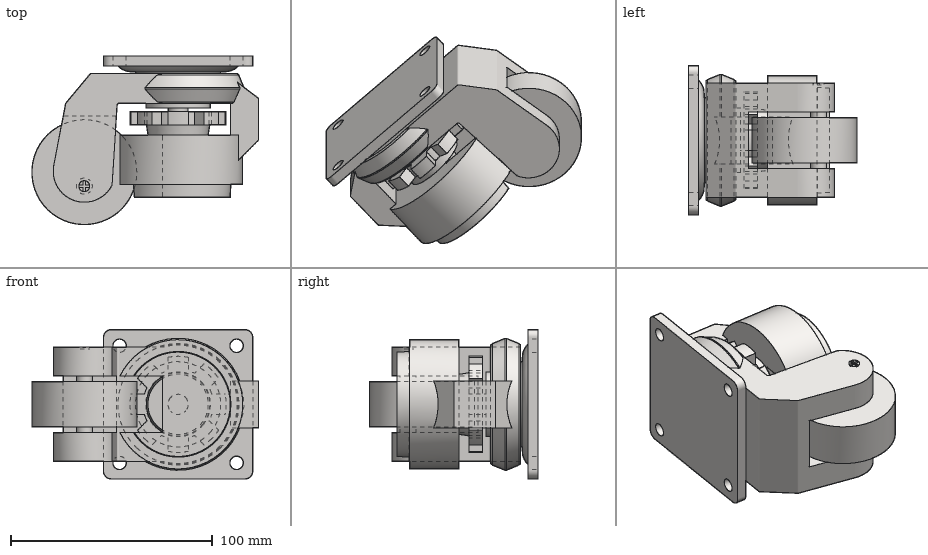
import cadquery as cq
import math


OVERALL_LENGTH = 112.3
OVERALL_DEPTH = 83.5

PLATE_SIDE = 74.0
PLATE_THICKNESS = 5.0
PLATE_CORNER_RADIUS = 3.9
BOLT_HOLE_DIAMETER = 6.5
BOLT_SPACING = 58.0

DOME_BASE_RADIUS = 29.8
DOME_FLAT_RADIUS = 23.2
DOME_DEPTH = 7.9
NECK_DIAMETER = 42.2

HEAD_TOP = 8.6
HEAD_BOTTOM = 23.5
HEAD_END_RADIUS = 30.1
HEAD_RIM_RADIUS = 32.7
HEAD_RIM_WIDTH = 0.7
HEAD_EDGE_BREAK = 0.8

TAIL_REACH = 39.9
WHEEL_DIAMETER = 52.0
WHEEL_WIDTH = 22.5
WHEEL_X = TAIL_REACH - OVERALL_LENGTH + WHEEL_DIAMETER / 2
WHEEL_DEPTH = OVERALL_DEPTH - WHEEL_DIAMETER / 2

FORK_WIDTH = 56.6
FORK_SLOT_WIDTH = 28.1
FORK_SLOT_DEPTH = 29.6
SHOULDER_X = -43.3
ELBOW_X = -55.7
ELBOW_DEPTH = HEAD_BOTTOM
CROTCH_X = -30.1
HEEL_X = -32.7
ARM_END_DEPTH = 57.0
ARM_END_RADIUS = 15.4
FORK_EDGE_FILLET = 1.0

AXLE_DIAMETER = 8.0
AXLE_DEPTH = 64.5
SCREW_HEAD_DIAMETER = 5.4
SCREW_HEAD_HEIGHT = 0.1
RECESS_BAR_WIDTH = 1.1
RECESS_DEPTH = 1.1

COLLAR_DIAMETER = 32.0
COLLAR_BOTTOM = 25.8
SHAFT_DIAMETER = 10.0
STAR_TOP = 27.5
STAR_BOTTOM = 34.1
STAR_TEETH = 8
STAR_TIP_RADIUS = 23.8
STAR_ROOT_RADIUS = 17.4
STAR_TOOTH_WIDTH = 10.2
HUB_TOP_RADIUS = 15.7
HUB_BOTTOM_RADIUS = 14.9

FOOT_TOP = 39.2
FOOT_BOTTOM = 63.6
FOOT_RADIUS = 32.0
PAD_BOTTOM = 70.0
PAD_TOP_RADIUS = 26.2
PAD_BOTTOM_RADIUS = 25.8
POCKET_EDGE_X = -7.6

TAIL_WIDTH = 23.2
TAIL_INNER_X = 25.8
TAIL_FACE_TOP = 21.0
TAIL_FACE_BOTTOM = 41.7
TAIL_ROOT_TOP = 10.3


def disc(radius, top, bottom):
    """Round disc about the swivel axis between two depths."""
    return cq.Workplane("XZ", origin=(0, -top, 0)).circle(radius).extrude(bottom - top)


def cone(top_radius, bottom_radius, top, bottom):
    """Tapered disc about the swivel axis between two depths."""
    profile = [(0, -top), (top_radius, -top), (bottom_radius, -bottom), (0, -bottom)]
    return cq.Workplane("XY").polyline(profile).close().revolve(360, (0, 0, 0), (0, 1, 0))


def make_plate():
    plate = cq.Workplane("XZ").rect(PLATE_SIDE, PLATE_SIDE).extrude(PLATE_THICKNESS)
    plate = plate.edges("|Y").fillet(PLATE_CORNER_RADIUS)
    holes = (
        cq.Workplane("XZ")
        .rect(BOLT_SPACING, BOLT_SPACING, forConstruction=True)
        .vertices()
        .circle(BOLT_HOLE_DIAMETER / 2)
        .extrude(PLATE_THICKNESS)
    )
    return plate.cut(holes)


def make_dome():
    dome = (
        cq.Workplane("XY")
        .moveTo(0, -PLATE_THICKNESS)
        .lineTo(0, -DOME_DEPTH)
        .lineTo(DOME_FLAT_RADIUS, -DOME_DEPTH)
        .tangentArcPoint((DOME_BASE_RADIUS, -PLATE_THICKNESS), relative=False)
        .close()
        .revolve(360, (0, 0, 0), (0, 1, 0))
    )
    return dome.union(disc(NECK_DIAMETER / 2, DOME_DEPTH, HEAD_TOP))


def make_head():
    middle = (HEAD_TOP + HEAD_BOTTOM) / 2
    profile = [
        (0, -HEAD_TOP),
        (HEAD_END_RADIUS - HEAD_EDGE_BREAK, -HEAD_TOP),
        (HEAD_END_RADIUS, -HEAD_TOP - HEAD_EDGE_BREAK),
        (HEAD_RIM_RADIUS, -middle + HEAD_RIM_WIDTH / 2),
        (HEAD_RIM_RADIUS, -middle - HEAD_RIM_WIDTH / 2),
        (HEAD_END_RADIUS, -HEAD_BOTTOM + HEAD_EDGE_BREAK),
        (HEAD_END_RADIUS - HEAD_EDGE_BREAK, -HEAD_BOTTOM),
        (0, -HEAD_BOTTOM),
    ]
    return cq.Workplane("XY").polyline(profile).close().revolve(360, (0, 0, 0), (0, 1, 0))


def make_fork():
    dx = ELBOW_X - WHEEL_X
    dy = ARM_END_DEPTH - ELBOW_DEPTH
    tangent_angle = math.atan2(dy, dx) + math.acos(ARM_END_RADIUS / math.hypot(dx, dy))
    tangent_point = (
        WHEEL_X + ARM_END_RADIUS * math.cos(tangent_angle),
        -ARM_END_DEPTH + ARM_END_RADIUS * math.sin(tangent_angle),
    )
    arm_tip = (WHEEL_X, -ARM_END_DEPTH - ARM_END_RADIUS)
    heel_drop = math.sqrt(ARM_END_RADIUS**2 - (HEEL_X - WHEEL_X) ** 2)
    fork = (
        cq.Workplane("XY")
        .moveTo(0, -HEAD_TOP)
        .lineTo(SHOULDER_X, -HEAD_TOP)
        .lineTo(ELBOW_X, -ELBOW_DEPTH)
        .lineTo(*tangent_point)
        .threePointArc(arm_tip, (HEEL_X, -ARM_END_DEPTH - heel_drop))
        .lineTo(CROTCH_X, -HEAD_BOTTOM)
        .lineTo(0, -HEAD_BOTTOM)
        .close()
        .extrude(FORK_WIDTH / 2, both=True)
    )
    for x, depth in ((SHOULDER_X, HEAD_TOP), (ELBOW_X, ELBOW_DEPTH), (CROTCH_X, HEAD_BOTTOM)):
        corner = cq.selectors.NearestToPointSelector((x, -depth, 0))
        fork = fork.edges("|Z").edges(corner).fillet(FORK_EDGE_FILLET)
    slot = (
        cq.Workplane("XZ", origin=(WHEEL_X, -FORK_SLOT_DEPTH, 0))
        .rect(WHEEL_DIAMETER, FORK_SLOT_WIDTH)
        .extrude(WHEEL_DIAMETER)
    )
    return fork.cut(slot)


def make_wheel():
    wheel = (
        cq.Workplane("XY")
        .workplane(offset=-WHEEL_WIDTH / 2)
        .center(WHEEL_X, -WHEEL_DEPTH)
        .circle(WHEEL_DIAMETER / 2)
        .extrude(WHEEL_WIDTH)
    )
    axle = (
        cq.Workplane("XY")
        .workplane(offset=-FORK_SLOT_WIDTH / 2)
        .center(WHEEL_X, -AXLE_DEPTH)
        .circle(AXLE_DIAMETER / 2)
        .extrude(FORK_SLOT_WIDTH)
    )
    return wheel.union(axle)


def screw_head_blank(bottom, height):
    """Round screw head on the upper arm, starting at the given height."""
    return (
        cq.Workplane("XY", origin=(WHEEL_X, -AXLE_DEPTH, bottom))
        .circle(SCREW_HEAD_DIAMETER / 2)
        .extrude(height)
    )


def make_screw_head():
    return screw_head_blank(FORK_WIDTH / 2, SCREW_HEAD_HEIGHT)


def make_screw_recess():
    """Cross recess sunk through the screw head into the upper arm."""
    bottom = FORK_WIDTH / 2 + SCREW_HEAD_HEIGHT - RECESS_DEPTH
    floor = cq.Workplane("XY", origin=(WHEEL_X, -AXLE_DEPTH, bottom))
    bar_x = floor.rect(SCREW_HEAD_DIAMETER, RECESS_BAR_WIDTH).extrude(RECESS_DEPTH)
    bar_y = floor.rect(RECESS_BAR_WIDTH, SCREW_HEAD_DIAMETER).extrude(RECESS_DEPTH)
    return bar_x.union(bar_y).intersect(screw_head_blank(bottom, RECESS_DEPTH))


def make_star():
    star = disc(STAR_ROOT_RADIUS, STAR_TOP, STAR_BOTTOM)
    bar = (
        cq.Workplane("XZ", origin=(0, -STAR_TOP, 0))
        .rect(2 * STAR_TIP_RADIUS, STAR_TOOTH_WIDTH)
        .extrude(STAR_BOTTOM - STAR_TOP)
    )
    for i in range(STAR_TEETH // 2):
        star = star.union(bar.rotate((0, 0, 0), (0, 1, 0), i * 360 / STAR_TEETH))
    return star.intersect(disc(STAR_TIP_RADIUS, STAR_TOP, STAR_BOTTOM))


def make_foot():
    foot = disc(FOOT_RADIUS, FOOT_TOP, FOOT_BOTTOM)
    foot = foot.union(cone(PAD_TOP_RADIUS, PAD_BOTTOM_RADIUS, FOOT_BOTTOM, PAD_BOTTOM))
    pocket = (
        cq.Workplane("XZ", origin=(POCKET_EDGE_X - FOOT_RADIUS / 2, -FOOT_TOP, 0))
        .rect(FOOT_RADIUS, FORK_SLOT_WIDTH)
        .extrude(PAD_BOTTOM - FOOT_TOP)
    )
    return foot.cut(pocket)


def make_tail():
    root_bottom = TAIL_FACE_BOTTOM + TAIL_REACH - TAIL_INNER_X
    outline = [
        (TAIL_INNER_X, -TAIL_ROOT_TOP),
        (TAIL_REACH, -TAIL_FACE_TOP),
        (TAIL_REACH, -TAIL_FACE_BOTTOM),
        (TAIL_INNER_X, -root_bottom),
    ]
    return cq.Workplane("XY").polyline(outline).close().extrude(TAIL_WIDTH / 2, both=True)


result = (
    make_plate()
    .union(make_dome())
    .union(make_head())
    .union(make_fork())
    .union(disc(COLLAR_DIAMETER / 2, HEAD_BOTTOM, COLLAR_BOTTOM))
    .union(disc(SHAFT_DIAMETER / 2, COLLAR_BOTTOM, STAR_TOP))
    .union(make_star())
    .union(cone(HUB_TOP_RADIUS, HUB_BOTTOM_RADIUS, STAR_BOTTOM, FOOT_TOP))
    .union(make_foot())
    .union(make_tail())
    .union(make_wheel())
    .union(make_screw_head())
    .cut(make_screw_recess())
)